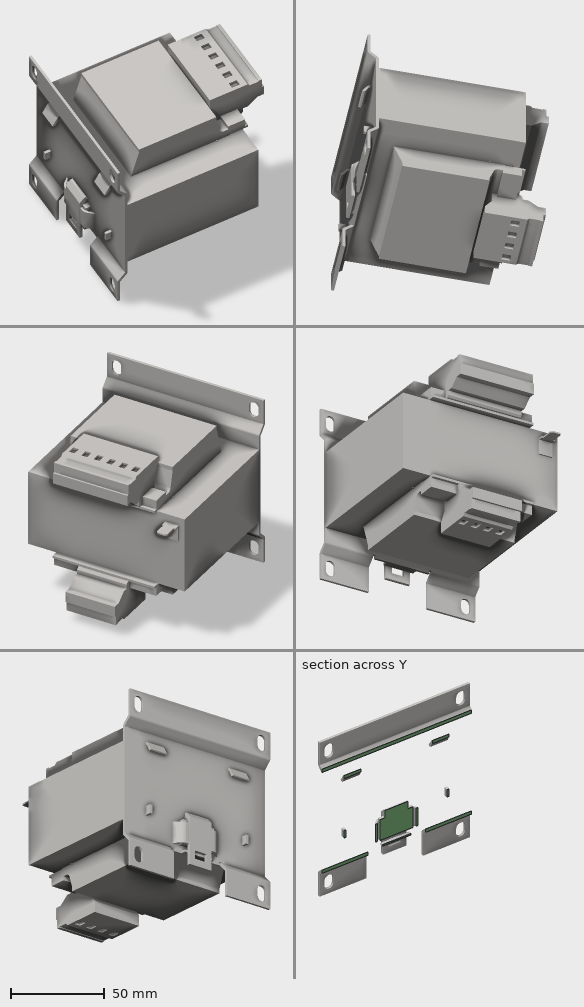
import cadquery as cq


core_width = 96.0
core_depth = 80.0
core_height = 45.4

plate_height = 102.2
sheet = 1.5
flange_offset = 4.6
web_back_half = 31.7
bend_drop = 1.0
bend_rise = 4.6
bend_radius = 1.6
plate_bottom_gap = 36.3
relief_width = 1.3
web_bottom_z = -32.6
slot_width = 5.7
slot_length = 9.1
slot_spacing_x = 84.2
slot_spacing_z = 87.0

hook_width = 11.1
grip_half_span = 33.7
hook_root_top_z = 25.8
hook_root_bottom_z = 23.9
hook_bend_start = (-2.8, 24.9)
hook_bend_middle = (-3.3, 24.5)
hook_bend_end = (-3.7, 23.9)
hook_inner_bend = (-2.6, 23.3)
hook_tip_front_y = -5.5
hook_tip_back_y = -4.5
hook_tip_y = -6.1
hook_tip_side_z = 19.9
hook_tip_z = 19.4
lug_width = 1.6
lug_height = 5.2
lug_top_z = -11.8
lug_reach = 3.7

latch_width = 15.0
latch_front_y = -6.5
latch_back_y = -4.6
latch_bottom_z = -39.9
latch_top_z = -9.2
latch_heel_y = -2.3
latch_heel_z = -11.0
latch_crest_y = -3.7
latch_slope_z = -12.2
latch_window_width = 7.9
latch_window_top_z = -31.2
latch_window_height = 4.7
slide_width = 21.4
slide_top_z = -14.1
spring_top_z = -15.9
spring_bottom_z = -28.2
spring_half_width = 15.2
spring_knee_x = 12.4
spring_crown_x = 9.7
spring_thickness = 1.2
spring_bow_middle = (11.2, -5.6)
spring_inner_knee = (11.8, -3.64)
spring_foot_length = 1.7
spring_crown_y = -6.1
stop_width = 18.5
stop_root_z = -30.3
stop_top_z = -31.3
stop_slope_y = -2.4

former_width = 62.6
former_front_y = 11.5
former_back_y = 83.2
former_shelf_front_y = 68.2
former_pad_front_y = 71.0
former_pad_back_y = 81.3
former_ledge_z = 24.6
former_gap_front_y = 72.0
former_shelf_z = 27.7
former_pad_z = 30.0
former_gap = 0.5
coil_front_y = 16.4
coil_back_y = 63.7
coil_edge = 2.3
coil_foot_start = (65.9, 29.9)
coil_foot_middle = (66.7, 28.5)
coil_top_z = 41.6
coil_bottom_z = -38.9
rim_tip_reach = 1.0
rim_tip_depth = 0.7
rim_tip_back_y = 63.9

terminal_pitch = 7.6
upper_terminals = 6
lower_terminals = 4
window_width = 3.5
window_length = 4.8
window_front_y = 79.25
window_depth = 2.0
terminal_top_z = 46.2
terminal_front_y = 64.5
terminal_top_back_y = 87.6
terminal_step_front_y = 88.9
terminal_step_z = 44.8
terminal_step_y = 94.4
terminal_lip_z = 45.3
terminal_lip_y = 96.4
terminal_nose_y = 97.6
terminal_nose_top_z = 39.4
terminal_nose_bottom_z = 33.0
terminal_belly_back_y = 93.5
terminal_belly_front_y = 88.1
terminal_foot_z = 26.0
terminal_foot_corner = (83.9, 24.9)
terminal_neck_z = 34.6
terminal_chin_z = 40.3
terminal_heel_y = 84.9
terminal_heel_z = 28.6

tab_x = -40.25
tab_thickness = 0.9
tab_shoulder_width = 8.2
tab_shoulder_length = 3.6
tab_blade_width = 6.3
tab_blade_length = 11.7
tab_chamfer = 0.9
tab_top_z = 17.8
tab_leg_bottom_z = 8.4


def box(x_range, y_range, z_range):
    """Box given by its lower and upper limits along each axis."""
    (x0, x1), (y0, y1), (z0, z1) = x_range, y_range, z_range
    return cq.Workplane("XY").box(x1 - x0, y1 - y0, z1 - z0, centered=False).translate((x0, y0, z0))


def along_x(profile, width, center_x=0.0):
    """Extrude a profile drawn in Y and Z symmetrically about center_x."""
    return profile.extrude(width / 2, both=True).translate((center_x, 0, 0))


def outline(points):
    """Closed straight-sided outline in the YZ plane."""
    return cq.Workplane("YZ").polyline(points).close()


def mirrored_z(shape):
    return shape.mirror("XY")


def make_core():
    half_width = core_width / 2
    half_height = core_height / 2
    return box((-half_width, half_width), (0, core_depth), (-half_height, half_height))


def make_plate():
    half = plate_height / 2
    back_bend = web_back_half
    front_bend = web_back_half - bend_drop
    upper = [
        (-sheet, front_bend),
        (-sheet - flange_offset, front_bend + bend_rise),
        (-sheet - flange_offset, half),
        (-flange_offset, half),
        (-flange_offset, back_bend + bend_rise),
        (0, back_bend),
    ]
    lower = [(y, -z) for y, z in reversed(upper)]
    plate = along_x(outline(upper + lower), core_width)
    for sign in (-1, 1):
        flange_corner = (0, -sheet - flange_offset, sign * (front_bend + bend_rise))
        web_corner = (0, 0, sign * back_bend)
        for corner in (flange_corner, web_corner):
            plate = plate.edges(cq.NearestToPointSelector(corner)).fillet(bend_radius)

    gap_half = plate_bottom_gap / 2
    tongue_half = gap_half - relief_width
    plate_front = -sheet - flange_offset
    plate = plate.cut(box((-gap_half, gap_half), (plate_front, 0), (-half, -front_bend)))
    plate = plate.union(box((-tongue_half, tongue_half), (-sheet, 0), (web_bottom_z, -front_bend)))

    slots = (
        cq.Workplane("XZ")
        .rarray(slot_spacing_x, slot_spacing_z, 2, 2)
        .slot2D(slot_length, slot_width, 90)
        .extrude(-plate_front)
    )
    return plate.cut(slots)


def make_hook(center_x):
    """Sheet tongue that leaves the plate and bends downwards over the rail."""
    profile = (
        cq.Workplane("YZ")
        .moveTo(-sheet, hook_root_top_z)
        .lineTo(*hook_bend_start)
        .threePointArc(hook_bend_middle, hook_bend_end)
        .lineTo(hook_tip_y, hook_tip_side_z)
        .lineTo(hook_tip_front_y, hook_tip_z)
        .lineTo(hook_tip_back_y, hook_tip_z)
        .lineTo(*hook_inner_bend)
        .lineTo(-sheet, hook_root_bottom_z)
        .close()
    )
    return along_x(profile, hook_width, center_x)


def make_lug(center_x):
    half = lug_width / 2
    return box(
        (center_x - half, center_x + half),
        (-sheet - lug_reach, -sheet),
        (lug_top_z - lug_height, lug_top_z),
    )


def make_latch():
    bar_profile = outline([
        (-sheet, latch_heel_z),
        (latch_heel_y, latch_heel_z),
        (latch_heel_y, latch_top_z),
        (latch_crest_y, latch_top_z),
        (latch_front_y, latch_slope_z),
        (latch_front_y, latch_bottom_z),
        (latch_back_y, latch_bottom_z),
        (latch_back_y, spring_bottom_z),
        (-sheet, spring_bottom_z),
    ])
    window_half = latch_window_width / 2
    window = box(
        (-window_half, window_half),
        (latch_front_y, latch_back_y),
        (latch_window_top_z - latch_window_height, latch_window_top_z),
    )
    bar = along_x(bar_profile, latch_width).cut(window)

    slide_half = slide_width / 2
    slide = box((-slide_half, slide_half), (latch_back_y, -sheet), (spring_bottom_z, slide_top_z))
    return bar.union(slide).union(make_spring_wing()).union(make_spring_wing().mirror("YZ"))


def make_spring_wing():
    """Spring strip bowing from the side of the latch bar back to the plate."""
    crown_y = spring_crown_y
    knee_y = latch_back_y
    inner_y = crown_y + spring_thickness
    return (
        cq.Workplane("XY")
        .moveTo(0, crown_y)
        .lineTo(spring_crown_x, crown_y)
        .threePointArc(spring_bow_middle, (spring_knee_x, knee_y))
        .lineTo(spring_half_width, -sheet)
        .lineTo(spring_half_width - spring_foot_length, -sheet)
        .lineTo(*spring_inner_knee)
        .lineTo(spring_crown_x, inner_y)
        .lineTo(0, inner_y)
        .close()
        .extrude(spring_top_z - spring_bottom_z)
        .translate((0, 0, spring_bottom_z))
    )


def make_latch_stop():
    """Small ledge on the lower edge of the web, behind the latch bar."""
    profile = outline([
        (-sheet, stop_root_z),
        (stop_slope_y, stop_top_z),
        (latch_back_y, stop_top_z),
        (latch_back_y, web_bottom_z),
        (-sheet, web_bottom_z),
    ])
    return along_x(profile, stop_width)


def make_former(crown_z):
    """Upper half of the coil former: tapered coil cover, shelf and terminal pad."""
    base_z = core_height / 2
    edge_z = crown_z - coil_edge
    profile = (
        cq.Workplane("YZ")
        .moveTo(former_front_y, base_z)
        .lineTo(coil_front_y, edge_z)
        .lineTo(coil_front_y, crown_z)
        .lineTo(coil_back_y, crown_z)
        .lineTo(coil_back_y, edge_z)
        .lineTo(*coil_foot_start)
        .threePointArc(coil_foot_middle, (former_shelf_front_y, former_shelf_z))
        .lineTo(former_pad_front_y, former_shelf_z)
        .lineTo(former_pad_front_y, former_pad_z)
        .lineTo(former_pad_back_y, former_pad_z)
        .lineTo(former_pad_back_y, former_ledge_z)
        .lineTo(former_back_y, former_ledge_z)
        .lineTo(former_back_y, base_z + former_gap)
        .lineTo(former_gap_front_y, base_z + former_gap)
        .lineTo(former_gap_front_y, base_z)
        .close()
    )
    rim_half = former_width / 2 + rim_tip_reach
    rim = box(
        (-rim_half, rim_half),
        (rim_tip_back_y - rim_tip_depth, rim_tip_back_y),
        (base_z, base_z + former_gap),
    )
    return along_x(profile, former_width).union(rim)


def make_terminals(count):
    """Row of screw terminals above the core, each with a shallow window in its top."""
    profile = outline([
        (terminal_front_y, terminal_top_z),
        (terminal_top_back_y, terminal_top_z),
        (terminal_step_front_y, terminal_step_z),
        (terminal_step_y, terminal_step_z),
        (terminal_step_y, terminal_lip_z),
        (terminal_lip_y, terminal_lip_z),
        (terminal_lip_y, terminal_nose_top_z),
        (terminal_nose_y, terminal_nose_top_z),
        (terminal_nose_y, terminal_nose_bottom_z),
        (terminal_belly_back_y, terminal_nose_bottom_z),
        (terminal_belly_front_y, terminal_heel_z),
        (terminal_heel_y, terminal_heel_z),
        (terminal_heel_y, terminal_foot_z),
        terminal_foot_corner,
        (former_pad_back_y, former_ledge_z),
        (former_pad_back_y, former_shelf_z),
        (former_shelf_front_y, former_shelf_z),
        (former_shelf_front_y, terminal_neck_z),
        (terminal_front_y, terminal_chin_z),
    ])
    row = along_x(profile, count * terminal_pitch)
    half = window_width / 2
    for index in range(count):
        x = (index - (count - 1) / 2) * terminal_pitch
        row = row.cut(box(
            (x - half, x + half),
            (window_front_y, window_front_y + window_length),
            (terminal_top_z - window_depth, terminal_top_z),
        ))
    return row


def make_earth_tab():
    shoulder_half = tab_shoulder_width / 2
    blade_half = tab_blade_width / 2
    tab_z = (tab_top_z - tab_thickness, tab_top_z)
    back = core_depth
    shoulder_x = (tab_x - shoulder_half, tab_x + shoulder_half)
    shoulder = box(shoulder_x, (back, back + tab_shoulder_length), tab_z)
    leg = box(shoulder_x, (back, back + tab_thickness), (tab_leg_bottom_z, tab_top_z))
    blade = box((tab_x - blade_half, tab_x + blade_half), (back, back + tab_blade_length), tab_z)
    blade = blade.faces(">Y").edges("|Z").chamfer(tab_chamfer)
    return blade.union(shoulder).union(leg)


result = make_core().union(make_plate())
for side in (-1, 1):
    result = result.union(make_hook(side * (grip_half_span - hook_width / 2)))
    result = result.union(make_lug(side * (grip_half_span - lug_width / 2)))
result = result.union(make_latch_stop()).union(make_latch())
result = result.union(make_former(coil_top_z)).union(mirrored_z(make_former(-coil_bottom_z)))
result = result.union(make_terminals(upper_terminals))
result = result.union(mirrored_z(make_terminals(lower_terminals)))
result = result.union(make_earth_tab())